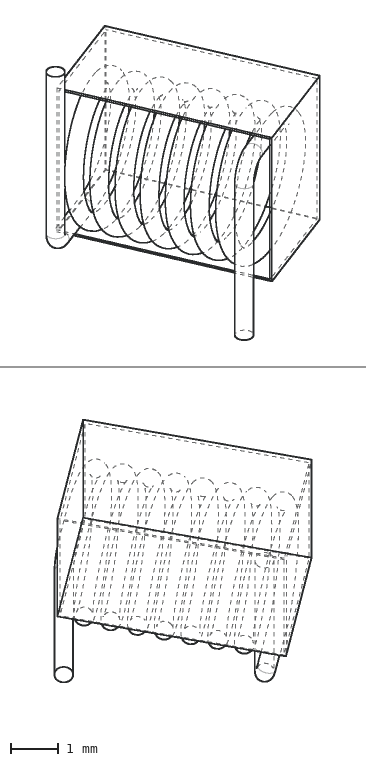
import cadquery as cq

wire_diameter = 0.395
coil_radius = 1.55
coil_turns = 7.5
lead_spacing = 4.295
lead_reach = 2.75
first_bend_radius = 0.255
second_bend_radius = 0.5

case_length = 4.9
case_height = 3.6
case_front = -0.77
case_back = 1.81
case_wall = 0.05

wire_radius = wire_diameter / 2
coil_start = -lead_spacing / 2
coil_pitch = lead_spacing / coil_turns
case_depth = case_back - case_front


def make_case():
    """Thin-walled box, open towards -Y."""
    outer = cq.Workplane("XY").box(case_length, case_depth, case_height)
    return outer.faces("<Y").shell(-case_wall).translate((0, (case_front + case_back) / 2, 0))


def make_helix():
    """Round wire wound about X, from the bottom at -X to the top at +X."""
    path = cq.Workplane(cq.Wire.makeHelix(coil_pitch, lead_spacing, coil_radius))
    section = cq.Workplane("XZ").center(coil_radius, 0).circle(wire_radius)
    winding = section.sweep(path, isFrenet=True)
    return winding.rotate((0, 0, 0), (0, 1, 0), 90).translate((coil_start, 0, 0))


def make_lead(x, side, bend_radius):
    """Lead leaving the coil along -Y at the top (side 1) or bottom (side -1), then bent across its front."""
    level = side * coil_radius
    corner = cq.Vector(-coil_radius, level)
    bend_centre = corner + cq.Vector(bend_radius, -side * bend_radius)
    half_chord = bend_radius * 0.5 ** 0.5
    path = (
        cq.Workplane("YZ", origin=(x, 0, 0))
        .moveTo(0, level)
        .lineTo(bend_centre.x, level)
        .threePointArc(
            (bend_centre.x - half_chord, bend_centre.y + side * half_chord),
            (corner.x, bend_centre.y),
        )
        .lineTo(corner.x, -side * lead_reach)
    )
    section = cq.Workplane("XZ", origin=(x, 0, level)).circle(wire_radius)
    return section.sweep(path)


case = make_case()

first_lead = make_lead(coil_start, -1, first_bend_radius)
second_lead = make_lead(-coil_start, 1, second_bend_radius)
coil = make_helix().union(first_lead).union(second_lead)

result = cq.Compound.makeCompound([case.val(), coil.solids().val()])